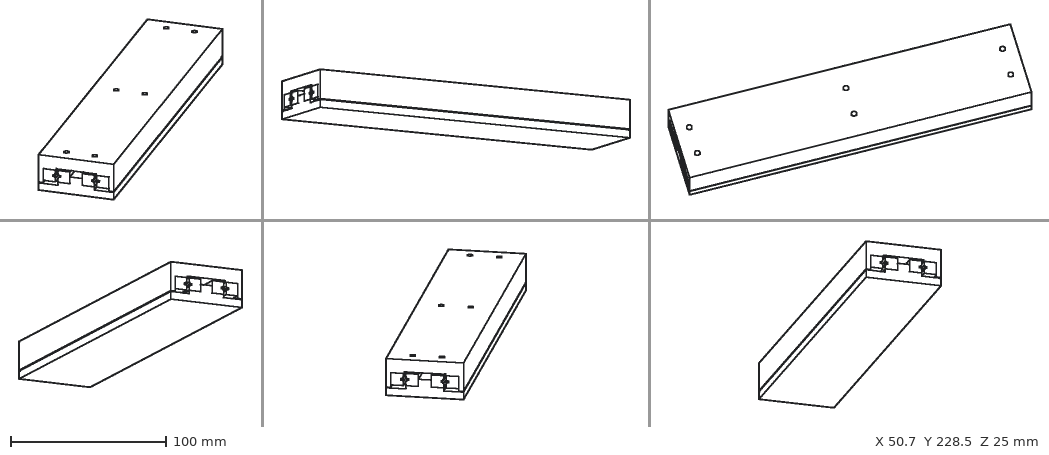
import cadquery as cq

LENGTH = 228.5
WIDTH = 50.7
HEIGHT = 25.0

RAIL_SIZE = 8.2
RAIL_BOTTOM = 7.3
RAIL_TOP = RAIL_BOTTOM + RAIL_SIZE
GROOVE_HALF_HEIGHT = 1.4
RELIEF_HALF_HEIGHT = 0.5
RELIEF_DEPTH = 1.71
GROOVE_DEPTH = GROOVE_HALF_HEIGHT - RELIEF_HALF_HEIGHT

SKIRT_THICKNESS = 3.2
OUTER_RAIL_BACK = WIDTH / 2 - SKIRT_THICKNESS
OUTER_RAIL_FACE = OUTER_RAIL_BACK - RAIL_SIZE
INNER_RAIL_BACK = 4.1
INNER_RAIL_FACE = INNER_RAIL_BACK + RAIL_SIZE
RECESS_HALF_WIDTH = 13.5

SEAT_HEIGHT = 2.17
BASE_PLATE_TOP = RAIL_BOTTOM - SEAT_HEIGHT
BASE_RIB_TOP = 12.1
SKIRT_GAP = 0.57
SKIRT_BOTTOM = BASE_PLATE_TOP + SKIRT_GAP
RECESS_DEPTH = 1.03
RECESS_TOP = RAIL_TOP + RECESS_DEPTH

HOLE_DIAMETER = 3.5
HOLE_SPACING_X = 19.2
HOLE_END_DISTANCE = 9.5
HOLE_ROWS = 3
HOLE_COLUMNS = 2
HOLE_SPACING_Y = (LENGTH - 2 * HOLE_END_DISTANCE) / (HOLE_ROWS - 1)


def extrude_profile(points):
    """Extrude a closed X-Z outline over the full length, centred on Y."""
    return cq.Workplane("XZ").polyline(points).close().extrude(LENGTH / 2, both=True)


def extrude_symmetric(half_outline):
    """Mirror a right-hand half outline about X = 0 and extrude the whole."""
    mirrored = [(-x, z) for x, z in reversed(half_outline)]
    return extrude_profile(half_outline + mirrored)


def make_base():
    """Flat plate with two rail seats on either side of a central rib."""
    return extrude_symmetric([
        (WIDTH / 2, 0),
        (WIDTH / 2, BASE_PLATE_TOP),
        (INNER_RAIL_FACE, BASE_PLATE_TOP),
        (INNER_RAIL_FACE, RAIL_BOTTOM),
        (INNER_RAIL_BACK, RAIL_BOTTOM),
        (INNER_RAIL_BACK, BASE_RIB_TOP),
    ])


def make_carriage():
    """Inverted channel that holds the outer rails and has mounting holes."""
    channel = extrude_symmetric([
        (WIDTH / 2, HEIGHT),
        (WIDTH / 2, SKIRT_BOTTOM),
        (OUTER_RAIL_BACK, SKIRT_BOTTOM),
        (OUTER_RAIL_BACK, RAIL_TOP),
        (RECESS_HALF_WIDTH, RAIL_TOP),
        (RECESS_HALF_WIDTH, RECESS_TOP),
    ])
    holes = (
        cq.Workplane("XY", origin=(0, 0, RECESS_TOP))
        .rarray(HOLE_SPACING_X, HOLE_SPACING_Y, HOLE_COLUMNS, HOLE_ROWS)
        .circle(HOLE_DIAMETER / 2)
        .extrude(HEIGHT - RECESS_TOP)
    )
    return channel.cut(holes)


def make_rail(back, face):
    """Rail from its flat back to its grooved face, both given as X positions."""
    inward = 1 if back > face else -1
    groove_level = (RAIL_BOTTOM + RAIL_TOP) / 2
    return extrude_profile([
        (back, RAIL_BOTTOM),
        (back, RAIL_TOP),
        (face, RAIL_TOP),
        (face, groove_level + GROOVE_HALF_HEIGHT),
        (face + inward * GROOVE_DEPTH, groove_level + RELIEF_HALF_HEIGHT),
        (face + inward * RELIEF_DEPTH, groove_level + RELIEF_HALF_HEIGHT),
        (face + inward * RELIEF_DEPTH, groove_level - RELIEF_HALF_HEIGHT),
        (face + inward * GROOVE_DEPTH, groove_level - RELIEF_HALF_HEIGHT),
        (face, groove_level - GROOVE_HALF_HEIGHT),
        (face, RAIL_BOTTOM),
    ])


base = make_base()
carriage = make_carriage()
rails = []
for side in (-1, 1):
    rails.append(make_rail(side * OUTER_RAIL_BACK, side * OUTER_RAIL_FACE))
    rails.append(make_rail(side * INNER_RAIL_BACK, side * INNER_RAIL_FACE))

result = cq.Compound.makeCompound([
    base.val(),
    carriage.val(),
    *[rail.val() for rail in rails],
])